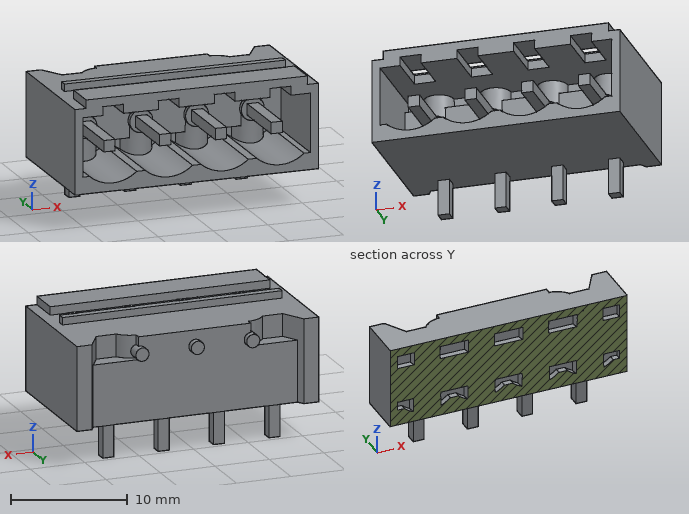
import cadquery as cq
import math

WIDTH = 22.22
DEPTH = 12.0
TOTAL_HEIGHT = 11.62
BODY_HEIGHT = 7.65
POLES = 4
PITCH = 5.09

CAVITY_WIDTH = 20.75
CAVITY_TOP = 6.85
CAVITY_FLOOR = 1.53
CAVITY_DEPTH = 8.22
SCALLOP_BOTTOM = 0.73
SCALLOP_WIDTH = 4.3

SLOT_WIDTH = 1.89
SLOT_DEPTH = 4.15

STRIP_WIDTH = 20.18
FRONT_STRIP_DEPTH = 3.13
FRONT_STRIP_HEIGHT = 0.75
RIB_FRONT = 5.3
RIB_DEPTH = 0.7
RIB_HEIGHT = 0.67

COLUMN_TOP_RADIUS = 1.33
COLUMN_BOTTOM_RADIUS = 1.42
BLOCK_BOTTOM = 2.27
BLOCK_TOP = 5.69
BLOCK_PROTRUSION = 1.05
BOSS_RADIUS = 1.05
BOSS_PROTRUSION = 1.47

PIN_SIZE = 1.02
PIN_HEIGHT = 3.8
PIN_TIP = 0.9
TAIL_CENTRE = 9.98
TAIL_LENGTH = TOTAL_HEIGHT - BODY_HEIGHT - FRONT_STRIP_HEIGHT

REAR_FACE = 11.42
FLANGE_WIDTH = 1.38
NOTCH_FRONT = 10.0
NOTCH_START = 2.55
PILLAR_RADIUS = 1.98
PILLAR_REAR = 10.87
RIGHT_NOTCH_OFFSET = 0.13
PEG_RADIUS = 0.6
PEG_HEIGHT = 6.2
NOTCH_FLOOR = PEG_HEIGHT - PEG_RADIUS

pole_positions = [(i - (POLES - 1) / 2) * PITCH for i in range(POLES)]
peg_positions = [x + PITCH / 2 for x in pole_positions[:-1]]


def box(x_centre, x_size, y_min, y_max, z_min, z_max):
    """Box centred on x_centre, spanning the given Y and Z limits."""
    size = (x_size, y_max - y_min, z_max - z_min)
    block = cq.Workplane("XY").box(*size, centered=(True, False, False))
    return block.translate((x_centre, y_min, z_min))


def cylinder_along_y(x, z, radius, y_min, y_max):
    """Cylinder whose axis is parallel to Y."""
    plane = cq.Workplane("XZ", origin=(x, y_min, z))
    return plane.circle(radius).extrude(y_min - y_max)


def cavity():
    """Rectangular cavity with one shallow round trough under each pole."""
    space = box(0, CAVITY_WIDTH, 0, CAVITY_DEPTH, CAVITY_FLOOR, CAVITY_TOP)
    sagitta = CAVITY_FLOOR - SCALLOP_BOTTOM
    radius = ((SCALLOP_WIDTH / 2) ** 2 + sagitta**2) / (2 * sagitta)
    for x in pole_positions:
        trough = cylinder_along_y(x, SCALLOP_BOTTOM + radius, radius, 0, CAVITY_DEPTH)
        limits = box(x, SCALLOP_WIDTH, 0, CAVITY_DEPTH, 0, CAVITY_FLOOR)
        space = space.union(trough.intersect(limits))
        space = space.union(box(x, SLOT_WIDTH, 0, SLOT_DEPTH, CAVITY_FLOOR, BODY_HEIGHT))
    return space


def rear_recess():
    """Space behind the recessed rear face, between the slanted flanges."""
    half = WIDTH / 2
    slope = (NOTCH_START - FLANGE_WIDTH) / (DEPTH - NOTCH_FRONT)
    rear_x = half - FLANGE_WIDTH
    face_x = rear_x - slope * (DEPTH - REAR_FACE)
    outline = [(-rear_x, DEPTH), (-face_x, REAR_FACE), (face_x, REAR_FACE), (rear_x, DEPTH)]
    return cq.Workplane("XY").polyline(outline).close().extrude(BODY_HEIGHT)


def rear_notch(edge_offset):
    """Notch at the -X end, bounded by the flange slant and the pillar around the first peg.

    Its inner edge lies edge_offset outward of the peg axis.
    """
    left = -WIDTH / 2
    pillar_x = peg_positions[0]
    pillar_y = PILLAR_REAR - PILLAR_RADIUS

    def pillar_point(angle):
        return (pillar_x + PILLAR_RADIUS * math.cos(angle), pillar_y + PILLAR_RADIUS * math.sin(angle))

    start_angle = math.pi - math.asin((NOTCH_FRONT - pillar_y) / PILLAR_RADIUS)
    end_angle = math.acos(-edge_offset / PILLAR_RADIUS)
    mid_angle = (start_angle + end_angle) / 2
    return (
        cq.Workplane("XY", origin=(0, 0, NOTCH_FLOOR))
        .moveTo(left + FLANGE_WIDTH, DEPTH)
        .lineTo(left + NOTCH_START, NOTCH_FRONT)
        .lineTo(*pillar_point(start_angle))
        .threePointArc(pillar_point(mid_angle), pillar_point(end_angle))
        .lineTo(pillar_x - edge_offset, DEPTH)
        .close()
        .extrude(BODY_HEIGHT - NOTCH_FLOOR)
    )


def contact_support(x):
    """Tapered upright column with a round boss around the pin."""
    height = CAVITY_TOP - SCALLOP_BOTTOM
    base = cq.Vector(x, CAVITY_DEPTH, SCALLOP_BOTTOM)
    column = cq.Workplane(cq.Solid.makeCone(COLUMN_BOTTOM_RADIUS, COLUMN_TOP_RADIUS, height, base))
    boss = cylinder_along_y(x, PIN_HEIGHT, BOSS_RADIUS, CAVITY_DEPTH - BOSS_PROTRUSION, CAVITY_DEPTH)
    front_half = box(x, PITCH, 0, CAVITY_DEPTH, 0, BODY_HEIGHT)
    return column.intersect(front_half).union(boss)


def contact_pin(x):
    """Square pin running back from the cavity and bent down below the housing."""
    half = PIN_SIZE / 2
    tail_rear = TAIL_CENTRE + half
    arm = box(x, PIN_SIZE, PIN_TIP, tail_rear, PIN_HEIGHT - half, PIN_HEIGHT + half)
    tail = box(x, PIN_SIZE, TAIL_CENTRE - half, tail_rear, -TAIL_LENGTH, PIN_HEIGHT)
    return arm.union(tail)


result = (
    box(0, WIDTH, 0, DEPTH, 0, BODY_HEIGHT)
    .cut(cavity())
    .cut(rear_recess())
    .cut(rear_notch(0))
    .cut(rear_notch(RIGHT_NOTCH_OFFSET).mirror("YZ"))
)

strip_top = BODY_HEIGHT + FRONT_STRIP_HEIGHT
result = result.union(box(0, STRIP_WIDTH, 0, FRONT_STRIP_DEPTH, BODY_HEIGHT, strip_top))
rib_top = BODY_HEIGHT + RIB_HEIGHT
result = result.union(box(0, STRIP_WIDTH, RIB_FRONT, RIB_FRONT + RIB_DEPTH, BODY_HEIGHT, rib_top))

block_front = CAVITY_DEPTH - BLOCK_PROTRUSION
result = result.union(box(0, CAVITY_WIDTH, block_front, CAVITY_DEPTH, BLOCK_BOTTOM, BLOCK_TOP))
for pole_x in pole_positions:
    result = result.union(contact_support(pole_x)).union(contact_pin(pole_x))

for peg_x in peg_positions:
    result = result.union(cylinder_along_y(peg_x, PEG_HEIGHT, PEG_RADIUS, NOTCH_FRONT, DEPTH))